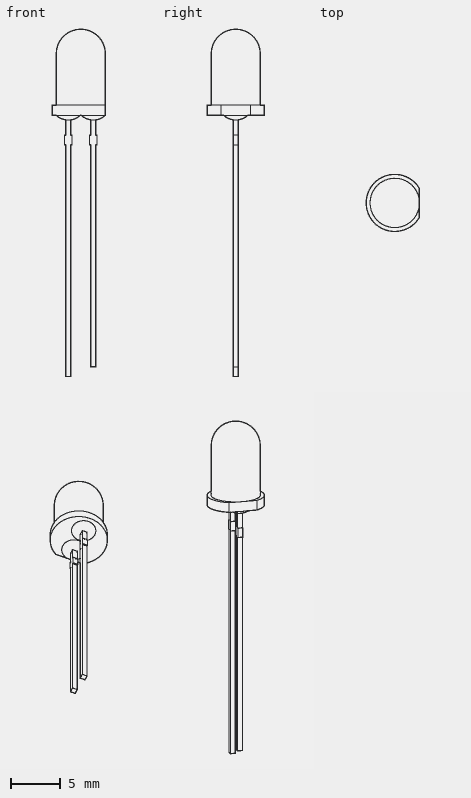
import cadquery as cq

total_height = 35.1
body_height = 8.7
long_lead_length = total_height - body_height
short_lead_length = long_lead_length - 1.0

lens_radius = 5.0 / 2
flange_radius = 5.8 / 2
flange_height = 1.02

lead_pitch = 2.53
lead_width = 0.53
stop_width = 0.77
stop_height = 1.0
stop_top_depth = 2.0

collar_radius = 1.23
collar_depth = 0.5


def make_lens():
    """Cylinder with a hemispherical top, revolved about Z."""
    shoulder_height = body_height - lens_radius
    return (
        cq.Workplane("XZ")
        .lineTo(lens_radius, 0)
        .lineTo(lens_radius, shoulder_height)
        .radiusArc((0, body_height), -lens_radius)
        .close()
        .revolve()
    )


def make_flange():
    """Disc with its +X side cut flat, flush with the lens."""
    disc = cq.Workplane("XY").circle(flange_radius).extrude(flange_height)
    flat_bounds = (
        cq.Workplane("XY")
        .center(lens_radius - flange_radius, 0)
        .rect(2 * flange_radius, 2 * flange_radius)
        .extrude(flange_height)
    )
    return disc.intersect(flat_bounds)


def make_lead(x, length):
    """Lead, its stop and its resin collar, hanging below the flange."""
    lead = cq.Workplane("XY").center(x, 0).rect(lead_width, lead_width).extrude(-length)
    stop = (
        cq.Workplane("XY", origin=(x, 0, -stop_top_depth))
        .rect(stop_width, lead_width)
        .extrude(-stop_height)
    )
    cap_sphere_radius = (collar_radius**2 + collar_depth**2) / (2 * collar_depth)
    collar = (
        cq.Workplane("XZ", origin=(x, 0, 0))
        .lineTo(collar_radius, 0)
        .radiusArc((0, -collar_depth), cap_sphere_radius)
        .close()
        .revolve()
    )
    return lead.union(stop).union(collar)


result = make_lens().union(make_flange())
for lead_x, lead_length in (
    (-lead_pitch / 2, long_lead_length),
    (lead_pitch / 2, short_lead_length),
):
    result = result.union(make_lead(lead_x, lead_length))